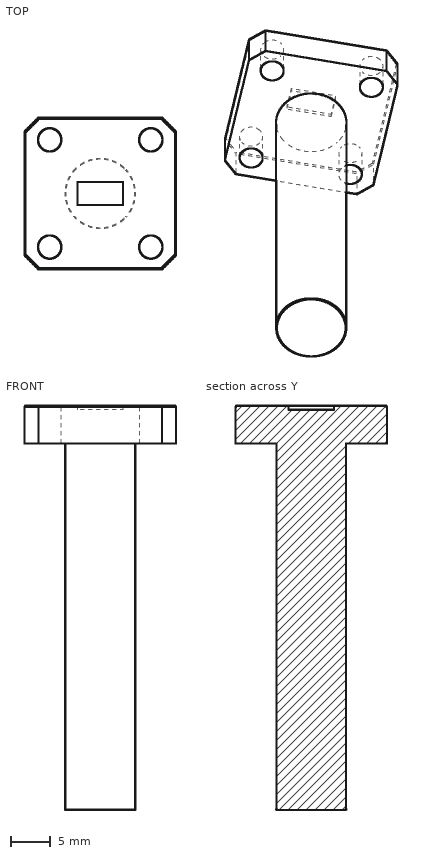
import cadquery as cq

total_length = 50.8
flange_width = 19.05
flange_thickness = 4.8
corner_cut = 1.8
edge_chamfer = 0.15

tube_diameter = 8.85
tube_end_chamfer = 0.1

hole_diameter = 2.9
hole_spacing_x = 12.7
hole_spacing_y = 13.45

window_width = 5.7
window_height = window_width / 2
window_depth = 0.5

tube_length = total_length - flange_thickness


def make_flange():
    """Square flange standing on Z = 0, with cut corners and a broken upper edge all round."""
    plate = cq.Workplane("XY").box(
        flange_width, flange_width, flange_thickness, centered=(True, True, False)
    )
    plate = plate.edges("|Z").chamfer(corner_cut)
    return plate.faces(">Z").edges().chamfer(edge_chamfer)


def make_tube():
    """Round body hanging below the flange, with a broken lower edge."""
    tube = cq.Workplane("XY").circle(tube_diameter / 2).extrude(-tube_length)
    return tube.faces("<Z").edges().chamfer(tube_end_chamfer)


def make_bolt_holes():
    """Four holes through the whole flange."""
    return (
        cq.Workplane("XY")
        .rarray(hole_spacing_x, hole_spacing_y, 2, 2)
        .circle(hole_diameter / 2)
        .extrude(flange_thickness)
    )


def make_window():
    """Pocket for the waveguide opening in the flange face."""
    return (
        cq.Workplane("XY")
        .workplane(offset=flange_thickness)
        .rect(window_width, window_height)
        .extrude(-window_depth)
    )


result = make_flange().union(make_tube()).cut(make_bolt_holes()).cut(make_window())